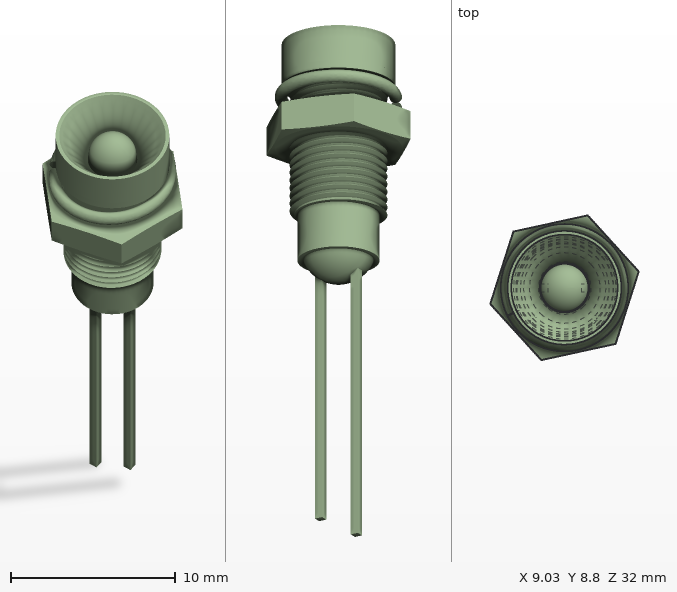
import cadquery as cq
import math

rim_z = 0
gasket_top_z = -2.25
head_bottom_z = -2.75
thread_top_z = -3.0
nut_top_z = -4.75
thread_bottom_z = -11.07
barrel_bottom_z = -14.0
dome_bottom_z = -15.4
long_lead_end_z = -32
short_lead_end_z = -30.5

head_diameter = 6.9
collar_diameter = 5.9
barrel_diameter = 5.0
reflector_diameter = 6.45
reflector_depth = 2.25
led_bore_diameter = 3.0
potting_bore_diameter = 4.3

thread_turns = 16.1
thread_pitch = (thread_top_z - thread_bottom_z) / thread_turns
thread_diameter = 5.95
thread_core_diameter = 5.38
ridge_base = 0.48
ridge_embed = 0.05
ridge_start_angle = 180

nut_flats = 8
nut_height = 2.0
nut_turn = 12.3
nut_face_diameter = 7.75
nut_edge_drop = 0.1

wire_diameter = 0.77
spring_outer_diameter = 7.75
spring_low_end_z = -4.2
spring_end_angle = 206
spring_rise = 0.9
spring_peak_turn = 0.7
spring_steps = 24

led_top_z = -0.4
led_diameter = 2.9
led_height = 5.3
flange_diameter = 3.2
flange_height = 1.0
lead_width = 0.5
lead_spacing = 2.53

led_bottom_z = led_top_z - led_height
flange_top_z = led_bottom_z + flange_height


def cylinder(diameter, bottom_z, top_z):
    return cq.Workplane("XY").workplane(offset=bottom_z).circle(diameter / 2).extrude(top_z - bottom_z)


def helix(pitch, height, radius, bottom_z, start_angle):
    """Right-handed helix about Z that starts at the given angle."""
    path = cq.Wire.makeHelix(pitch, height, radius)
    return path.rotate(cq.Vector(), cq.Vector(0, 0, 1), start_angle).translate(cq.Vector(0, 0, bottom_z))


def make_threaded_core():
    """Core with its V ridge wound past both ends of the thread, then trimmed flush to length."""
    start_z = thread_bottom_z - thread_pitch
    end_z = thread_top_z + thread_pitch
    root_radius = thread_core_diameter / 2 - ridge_embed
    path = helix(thread_pitch, end_z - start_z, root_radius, start_z, ridge_start_angle)
    ridge = (
        cq.Workplane("XZ")
        .polyline([
            (root_radius, start_z - ridge_base / 2),
            (thread_diameter / 2, start_z),
            (root_radius, start_z + ridge_base / 2),
        ])
        .close()
        .val()
        .rotate(cq.Vector(), cq.Vector(0, 0, 1), ridge_start_angle)
    )
    swept = cq.Workplane("XY").newObject([ridge]).toPending().sweep(cq.Workplane(path), isFrenet=True)
    core = cylinder(thread_core_diameter, start_z - thread_pitch, end_z + thread_pitch)
    return core.union(swept).intersect(cylinder(head_diameter, thread_bottom_z, thread_top_z))


def make_housing():
    reflector = (
        cq.Workplane("XZ")
        .polyline([
            (0, rim_z),
            (reflector_diameter / 2, rim_z),
            (led_bore_diameter / 2, rim_z - reflector_depth),
            (0, rim_z - reflector_depth),
        ])
        .close()
        .revolve(360, (0, 0), (0, 1))
    )
    return (
        make_threaded_core()
        .union(cylinder(head_diameter, gasket_top_z, rim_z))
        .union(cylinder(collar_diameter, thread_top_z, gasket_top_z))
        .union(cylinder(barrel_diameter, barrel_bottom_z, thread_bottom_z))
        .cut(reflector)
        .cut(cylinder(led_bore_diameter, flange_top_z, rim_z))
        .cut(cylinder(potting_bore_diameter, barrel_bottom_z, flange_top_z))
    )


def make_gasket():
    """Flat ring under the head, flush with its outside."""
    ring = cylinder(head_diameter, head_bottom_z, gasket_top_z)
    return ring.cut(cylinder(collar_diameter, head_bottom_z, gasket_top_z))


def make_nut():
    """Hexagon with shallow conical faces and a bore that clears the thread crests."""
    nut_bottom_z = nut_top_z - nut_height
    corner_radius = nut_flats / math.sqrt(3)
    hexagon = (
        cq.Workplane("XY")
        .workplane(offset=nut_bottom_z)
        .polygon(6, 2 * corner_radius)
        .extrude(nut_height)
        .rotate((0, 0, 0), (0, 0, 1), nut_turn)
    )
    face_cones = (
        cq.Workplane("XZ")
        .polyline([
            (0, nut_bottom_z),
            (nut_face_diameter / 2, nut_bottom_z),
            (corner_radius, nut_bottom_z + nut_edge_drop),
            (corner_radius, nut_top_z - nut_edge_drop),
            (nut_face_diameter / 2, nut_top_z),
            (0, nut_top_z),
        ])
        .close()
        .revolve(360, (0, 0), (0, 1))
    )
    return hexagon.intersect(face_cones).cut(cylinder(thread_diameter, nut_bottom_z, nut_top_z))


def spring_point(turn):
    """Centre of the wire after the given part of its single turn; it rises, then levels off and dips."""
    angle = math.radians(spring_end_angle) + 2 * math.pi * turn
    coil_radius = (spring_outer_diameter - wire_diameter) / 2
    return (
        coil_radius * math.cos(angle),
        coil_radius * math.sin(angle),
        spring_low_end_z + spring_rise * math.sin(turn * math.pi / 2 / spring_peak_turn),
    )


def make_spring_washer():
    points = [spring_point(step / spring_steps) for step in range(spring_steps + 1)]
    path = cq.Workplane("XY").spline(points)
    start_plane = cq.Plane(origin=points[0], xDir=(0, 0, 1), normal=path.val().tangentAt(0))
    return cq.Workplane(start_plane).circle(wire_diameter / 2).sweep(path, isFrenet=True)


def make_lead(x, end_z):
    return (
        cq.Workplane("XY")
        .workplane(offset=end_z)
        .center(x, 0)
        .rect(lead_width, lead_width)
        .extrude(led_bottom_z - end_z)
    )


def make_led():
    """Round-nosed lens on a flange, with its two leads."""
    nose_radius = led_diameter / 2
    nose_base_z = led_top_z - nose_radius
    return (
        cylinder(led_diameter, led_bottom_z, nose_base_z)
        .union(cq.Workplane("XY").sphere(nose_radius).translate((0, 0, nose_base_z)))
        .union(cylinder(flange_diameter, led_bottom_z, flange_top_z))
        .union(make_lead(-lead_spacing / 2, long_lead_end_z))
        .union(make_lead(lead_spacing / 2, short_lead_end_z))
    )


def make_potting(led):
    """Resin that fills the bore behind the LED and bulges out below the barrel."""
    bore_radius = potting_bore_diameter / 2
    bulge = barrel_bottom_z - dome_bottom_z
    dome_radius = (bore_radius**2 + bulge**2) / (2 * bulge)
    half_angle = math.asin(bore_radius / dome_radius) / 2
    middle = (
        dome_radius * math.sin(half_angle),
        dome_bottom_z + dome_radius * (1 - math.cos(half_angle)),
    )
    resin = (
        cq.Workplane("XZ")
        .moveTo(0, flange_top_z)
        .lineTo(bore_radius, flange_top_z)
        .lineTo(bore_radius, barrel_bottom_z)
        .threePointArc(middle, (0, dome_bottom_z))
        .close()
        .revolve(360, (0, 0), (0, 1))
    )
    return resin.cut(led)


housing = make_housing()
gasket = make_gasket()
nut = make_nut()
spring_washer = make_spring_washer()
led = make_led()
potting = make_potting(led)

result = cq.Compound.makeCompound([
    housing.val(),
    gasket.val(),
    nut.val(),
    spring_washer.val(),
    led.val(),
    potting.val(),
])